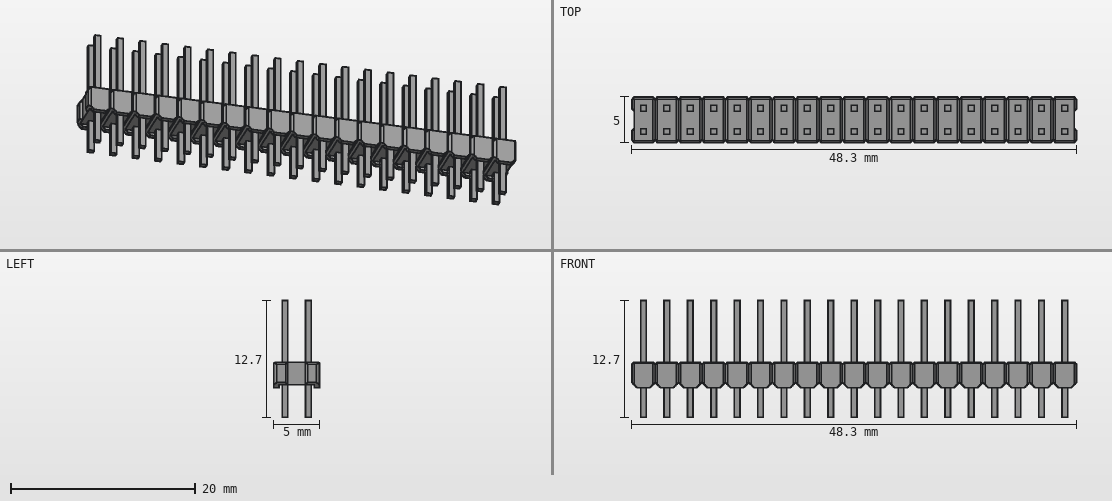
import cadquery as cq


columns = 19
rows = 2
pitch = 2.54
pin_width = 0.635
pin_length = 12.7
pin_tail = 3.2

body_depth = 5.0
body_height = 2.8
foot_height = 0.33
foot_depth = 0.6
underside_height = body_height - foot_height
channel_depth = body_depth - 2 * foot_depth

side_bevel = 0.25
corner_bevel_depth = 0.35
end_bevel_height = 0.25
core_width = pitch - 2 * side_bevel

top_bevel_depth = 0.25
top_bevel_height = 0.15

recess_depth = 1.9
recess_mouth_depth = recess_depth + 2 * side_bevel


def centers(count):
    """Positions of evenly pitched items centered on zero."""
    return [(index - (count - 1) / 2) * pitch for index in range(count)]


def make_core():
    """Block between the two beveled X sides, with two feet and a channel between them."""
    core = cq.Workplane("XY").box(core_width, body_depth, body_height, centered=(True, True, False))
    core = core.faces("<Z").edges("|Y").chamfer(foot_height)
    channel = cq.Workplane("XY").box(
        core_width, channel_depth, foot_height, centered=(True, True, False)
    )
    return core.cut(channel)


def make_side(side):
    """Tapered slab from the core to the edge of the pitch; side is -1 or 1 along X."""
    return (
        cq.Workplane("YZ", origin=(side * core_width / 2, 0, foot_height + underside_height / 2))
        .rect(body_depth, underside_height)
        .workplane(offset=side * side_bevel)
        .rect(body_depth - 2 * corner_bevel_depth, underside_height - 2 * end_bevel_height)
        .loft(ruled=True)
    )


def make_envelope():
    """Block as wide as the pitch, with the beveled top Y edges of a cell."""
    half_depth = body_depth / 2
    bevel_start = body_height - top_bevel_height
    top_half_depth = half_depth - top_bevel_depth
    return (
        cq.Workplane("YZ")
        .polyline(
            [
                (-half_depth, 0),
                (half_depth, 0),
                (half_depth, bevel_start),
                (top_half_depth, body_height),
                (-top_half_depth, body_height),
                (-half_depth, bevel_start),
            ]
        )
        .close()
        .extrude(pitch / 2, both=True)
    )


def make_pin(y):
    """Square pin at the given row position."""
    return cq.Workplane("XY", origin=(0, y, -pin_tail)).rect(pin_width, pin_width).extrude(pin_length)


def make_cell():
    """One insulator cell with its pins."""
    cell = make_core().union(make_side(-1)).union(make_side(1))
    cell = cell.intersect(make_envelope())
    for y in centers(rows):
        cell = cell.union(make_pin(y))
    return cell


def make_end_recess(side):
    """Full-height recess, widening outward, that leaves two pads on an end of the row."""
    outer_x = side * columns * pitch / 2
    inner_x = outer_x - side * side_bevel
    return (
        cq.Workplane("XY")
        .polyline(
            [
                (inner_x, -recess_depth / 2),
                (inner_x, recess_depth / 2),
                (outer_x, recess_mouth_depth / 2),
                (outer_x, -recess_mouth_depth / 2),
            ]
        )
        .close()
        .extrude(body_height)
    )


cell = make_cell()
first_x, *other_x = centers(columns)
result = cell.translate((first_x, 0, 0))
for x in other_x:
    result = result.union(cell.translate((x, 0, 0)))
for side in (-1, 1):
    result = result.cut(make_end_recess(side))